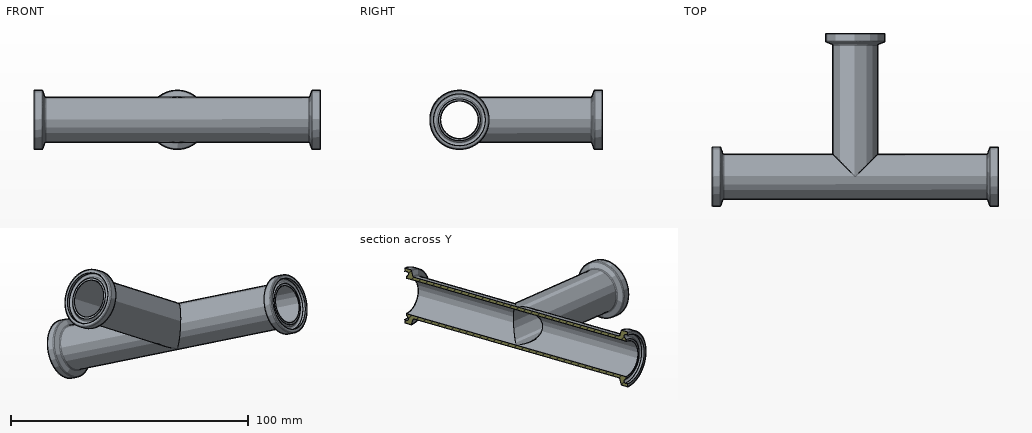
import cadquery as cq
import math

RUN_LENGTH = 120.6
TUBE_DIAMETER = 19.1
BORE_DIAMETER = 15.8
FLANGE_DIAMETER = 25.0
RIM_WIDTH = 3.6
TAPER_ANGLE = 20.0
FRONT_ROUNDING = 0.42
BACK_ROUNDING = 0.5
NECK_ROUNDING = 0.5

RECESS_DIAMETER = 21.8
GROOVE_FLOOR_DIAMETER = 20.3
SLOPE_OUTER_DIAMETER = 19.1
LAND_DIAMETER = 17.6
WALL_DEPTH = 1.3
GROOVE_FLOOR_DEPTH = 1.9
SLOPE_DEPTH = 1.7
LAND_DEPTH = 1.0

ARM_LENGTH = RUN_LENGTH / 2
TUBE_RADIUS = TUBE_DIAMETER / 2
BORE_RADIUS = BORE_DIAMETER / 2
FLANGE_RADIUS = FLANGE_DIAMETER / 2
TAPER_LENGTH = (FLANGE_RADIUS - TUBE_RADIUS) * math.tan(math.radians(TAPER_ANGLE))

ARM_ROTATIONS = (0, 90, -90)


def circle_edge_at(y, radius):
    """Selector for the circular edge of the given radius, centred on the Y axis at y."""
    margin = 0.01
    reach = radius + margin
    return cq.selectors.BoxSelector(
        (-reach, y - margin, -reach), (reach, y + margin, reach), boundingbox=True
    )


def solid_arm():
    """Unbored tube along +Y, starting at the tee centre and ending in a clamp flange."""
    rim_back = ARM_LENGTH - RIM_WIDTH
    taper_end = rim_back - TAPER_LENGTH
    arm = (
        cq.Workplane("XY")
        .polyline([
            (0, 0),
            (TUBE_RADIUS, 0),
            (TUBE_RADIUS, taper_end),
            (FLANGE_RADIUS, rim_back),
            (FLANGE_RADIUS, ARM_LENGTH),
            (0, ARM_LENGTH),
        ])
        .close()
        .revolve(360, (0, 0, 0), (0, 1, 0))
    )
    arm = arm.edges(circle_edge_at(ARM_LENGTH, FLANGE_RADIUS)).fillet(FRONT_ROUNDING)
    arm = arm.edges(circle_edge_at(rim_back, FLANGE_RADIUS)).fillet(BACK_ROUNDING)
    return arm.edges(circle_edge_at(taper_end, TUBE_RADIUS)).fillet(NECK_ROUNDING)


def gasket_recess():
    """Round recess with a ring groove, sunk into the end face of the +Y arm."""
    return (
        cq.Workplane("XY")
        .moveTo(0, ARM_LENGTH)
        .lineTo(RECESS_DIAMETER / 2, ARM_LENGTH)
        .lineTo(RECESS_DIAMETER / 2, ARM_LENGTH - WALL_DEPTH)
        .threePointArc(
            (GROOVE_FLOOR_DIAMETER / 2, ARM_LENGTH - GROOVE_FLOOR_DEPTH),
            (SLOPE_OUTER_DIAMETER / 2, ARM_LENGTH - SLOPE_DEPTH),
        )
        .lineTo(LAND_DIAMETER / 2, ARM_LENGTH - LAND_DEPTH)
        .lineTo(0, ARM_LENGTH - LAND_DEPTH)
        .close()
        .revolve(360, (0, 0, 0), (0, 1, 0))
    )


def arm_bore():
    """Bore from the tee centre out through the end of the +Y arm."""
    return cq.Workplane("XZ").circle(BORE_RADIUS).extrude(-ARM_LENGTH)


def on_every_arm(shape):
    """Union of copies of a +Y arm shape, one for each arm of the tee."""
    copies = [shape.rotate((0, 0, 0), (0, 0, 1), angle) for angle in ARM_ROTATIONS]
    return copies[0].union(copies[1]).union(copies[2])


tee = on_every_arm(solid_arm().cut(gasket_recess()))
result = tee.cut(on_every_arm(arm_bore()))